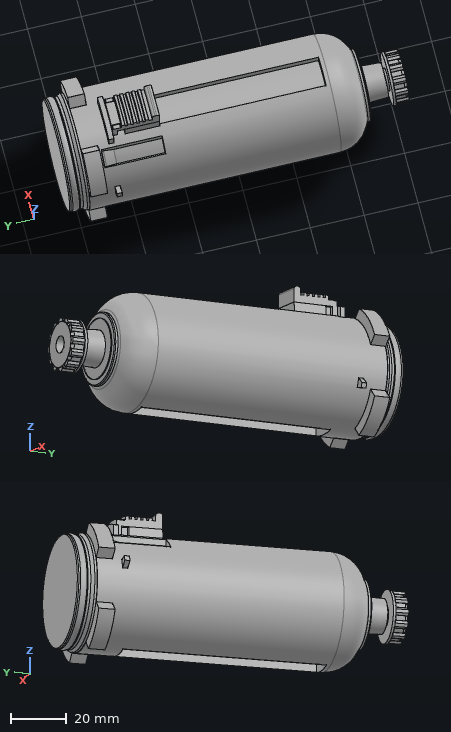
import cadquery as cq
import math

TOTAL_LENGTH = 129.0

GUARD_R = 43.9 / 2
BOWL_R = 37.9 / 2
GUARD_WALL = GUARD_R - BOWL_R
GUARD_TOP_Y = 121.8
DOME_Y = 28.5
DOME_ARC_R = 12.5
DOME_ARC_CENTRE_R = GUARD_R - DOME_ARC_R
DOME_INNER_ARC_R = DOME_ARC_R - GUARD_WALL
DOME_END_R = 14.5
END_RING_R = 27.0 / 2
END_RING_TOP_Y = 16.5
END_RING_Y = 15.2
END_RING_CHAMFER = 0.4
OUTLET_R = 22.3 / 2

LUG_R = 26.0
LUG_WIDTH = 17.2
LUG_LENGTH = 6.2
LUG_ANGLES = (45, 135, 225, 315)

TAB_OUTLINE = [(-20.0, 8.1), (-23.5, 8.9), (-24.0, 7.1), (-20.0, 3.6)]
TAB_Y = 110.2
TAB_LENGTH = 1.9

SIGHT_WIDTH = 11.4
SIGHT_BOTTOM_Y = 30.0
LOWER_SIGHT_TOP_Y = 107.0

RAIL_BOTTOM_Y = 92.0
RAIL_TOP_Y = 104.9
RAIL_TOP_Z = 24.4
RAIL_TOP_WIDTH = 12.1
RAIL_ROOT_WIDTH = 13.0
RAIL_ROOT_Z = 20.0

POCKET_INNER_X = -9.8
POCKET_OUTER_X = -15.4
POCKET_WALL_TILT = 35.5
POCKET_FLOOR_R = 19.9
POCKET_TOP_Y = 114.5
RAMP_START_Y = 109.9
RAMP_END_Y = 113.8
RAMP_TOP_R = 20.6

COLLAR_R = 43.3 / 2
COLLAR_CONE_Y = 122.7
COLLAR_STEP_Y = 124.0
RIM_R = 41.8 / 2
RIM_END_R = 41.3 / 2
RIM_CHAMFER = 0.5
COLLAR_TOP_Y = 125.0
SEAL_BOTTOM_Y = 125.4
SEAL_TOP_Y = 127.8
SEAL_R = 21.3
BOWL_END_Y = 14.8
STEM_TOP_R = 13.8 / 2
STEM_END_R = 13.0 / 2
STEM_END_Y = 7.1
STEM_NECK_TOP_R = 8.0 / 2
STEM_NECK_R = 8.5 / 2

KNOB_R = 20.0 / 2
KNOB_HEIGHT = 6.0
KNOB_FLANGE_Y = 5.0
KNOB_CORE_R = 9.2
KNOB_FACE_R = 8.4
KNOB_CONE_LENGTH = 1.2
TOOTH_COUNT = 12
TOOTH_ROOT_WIDTH = 3.0
TOOTH_TIP_WIDTH = 1.3
TOOTH_START_Y = 0.1
TOOTH_TIP_R = 9.9
HOLE_MOUTH_R = 6.2 / 2
HOLE_R = 4.0 / 2
HOLE_DEPTH = 2.6

LEG_Y = 107.6
NECK_Y = 109.5
PLATE_Y = 111.5
LEG_CORE_WIDTH = 9.0
PLATE_WIDTH = 17.0
PLATE_TOP_R = 25.5
NECK_TOP_R = 27.6
BUTTON_TOP_R = 28.0
NOTCH_BOTTOM_Y = 106.4
NOTCH_TOP_Y = 109.1
NOTCH_FLOOR_Z = 26.7
GRIP_TOP_R = 29.0
GRIP_COUNT = 5
GRIP_PITCH = 2.2
GRIP_FIRST_Y = 105.4
GRIP_TIP = 0.9
GRIP_ROOT = 1.4
LIP_Y = 94.7
LIP_TOP_Z = 30.5
LIP_FILLET = 1.0


def ring_y(outer_r, y_low, y_high):
    """Round disc about the Y axis."""
    return cq.Workplane("XZ", origin=(0, y_low, 0)).circle(outer_r).extrude(y_low - y_high)


def box_between(width, y_low, y_high, z_low, z_high):
    """Box centred on X = 0 and given by its Y and Z limits."""
    box = cq.Workplane("XY").box(width, y_high - y_low, z_high - z_low, centered=(True, False, False))
    return box.translate((0, y_low, z_low))


def turn_y(body, angle):
    """Body turned about the Y axis by an angle in degrees."""
    return body.rotate((0, 0, 0), (0, 1, 0), angle)


def dome_arc(radius, end_r):
    """Middle and end points of a dome arc that stops at distance end_r from the Y axis."""
    end_angle = math.acos((end_r - DOME_ARC_CENTRE_R) / radius)
    points = []
    for angle in (end_angle / 2, end_angle):
        points.append((DOME_ARC_CENTRE_R + radius * math.cos(angle), DOME_Y - radius * math.sin(angle)))
    return points


OUTER_ARC = dome_arc(DOME_ARC_R, DOME_END_R)
INNER_ARC = dome_arc(DOME_INNER_ARC_R, OUTLET_R)


def make_guard_shell():
    return (
        cq.Workplane("XY")
        .moveTo(BOWL_R, GUARD_TOP_Y)
        .lineTo(GUARD_R, GUARD_TOP_Y)
        .lineTo(GUARD_R, DOME_Y)
        .threePointArc(*OUTER_ARC)
        .lineTo(END_RING_R, END_RING_TOP_Y)
        .lineTo(END_RING_R, END_RING_Y + END_RING_CHAMFER)
        .lineTo(END_RING_R - END_RING_CHAMFER, END_RING_Y)
        .lineTo(OUTLET_R, END_RING_Y)
        .lineTo(*INNER_ARC[1])
        .threePointArc(INNER_ARC[0], (BOWL_R, DOME_Y))
        .close()
        .revolve(360, (0, 0, 0), (0, 1, 0))
    )


def make_lug(angle):
    lug_y = GUARD_TOP_Y - LUG_LENGTH
    mid_wall_r = (GUARD_R + BOWL_R) / 2
    bar = box_between(LUG_WIDTH, lug_y, GUARD_TOP_Y, 0, LUG_R)
    bar = bar.intersect(ring_y(LUG_R, lug_y, GUARD_TOP_Y))
    return turn_y(bar.cut(ring_y(mid_wall_r, lug_y, GUARD_TOP_Y)), angle)


def make_tab(angle):
    tab = cq.Workplane("XZ", origin=(0, TAB_Y, 0)).polyline(TAB_OUTLINE).close().extrude(-TAB_LENGTH)
    return turn_y(tab, angle)


def make_rail():
    outline = [
        (-RAIL_TOP_WIDTH / 2, RAIL_TOP_Z),
        (RAIL_TOP_WIDTH / 2, RAIL_TOP_Z),
        (RAIL_ROOT_WIDTH / 2, RAIL_ROOT_Z),
        (-RAIL_ROOT_WIDTH / 2, RAIL_ROOT_Z),
    ]
    plane = cq.Workplane("XZ", origin=(0, RAIL_BOTTOM_Y, 0))
    return plane.polyline(outline).close().extrude(RAIL_BOTTOM_Y - RAIL_TOP_Y)


def make_pocket():
    """Cutter with one upright wall, one leaning wall and a round floor that rises along a ramp."""
    tilt = math.radians(POCKET_WALL_TILT)
    outer_z = math.sqrt(GUARD_R**2 - POCKET_OUTER_X**2)
    corner_x = POCKET_OUTER_X + GUARD_WALL * math.sin(tilt)
    corner_z = outer_z - GUARD_WALL * math.cos(tilt)
    outline = [
        (POCKET_OUTER_X, outer_z),
        (corner_x, corner_z),
        (POCKET_INNER_X, corner_z),
        (POCKET_INNER_X, LUG_R),
        (POCKET_OUTER_X, LUG_R),
    ]
    plane = cq.Workplane("XZ", origin=(0, RAIL_BOTTOM_Y, 0))
    prism = plane.polyline(outline).close().extrude(RAIL_BOTTOM_Y - POCKET_TOP_Y)
    floor_profile = [
        (0, RAIL_BOTTOM_Y),
        (POCKET_FLOOR_R, RAIL_BOTTOM_Y),
        (POCKET_FLOOR_R, RAMP_START_Y),
        (RAMP_TOP_R, RAMP_END_Y),
        (RAMP_TOP_R, POCKET_TOP_Y),
        (0, POCKET_TOP_Y),
    ]
    floor = cq.Workplane("XY").polyline(floor_profile).close().revolve(360, (0, 0, 0), (0, 1, 0))
    return prism.cut(floor)


def make_guard():
    guard = make_guard_shell()
    for angle in LUG_ANGLES:
        guard = guard.union(make_lug(angle))
    for angle in (0, 180):
        guard = guard.union(make_tab(angle))
    guard = guard.union(make_rail())
    guard = guard.cut(box_between(SIGHT_WIDTH, SIGHT_BOTTOM_Y, RAIL_BOTTOM_Y, 0, GUARD_R))
    guard = guard.cut(box_between(SIGHT_WIDTH, SIGHT_BOTTOM_Y, LOWER_SIGHT_TOP_Y, -GUARD_R, 0))
    return guard.cut(make_pocket())


def make_bowl_body():
    seal_middle_y = (SEAL_BOTTOM_Y + SEAL_TOP_Y) / 2
    return (
        cq.Workplane("XY")
        .moveTo(0, TOTAL_LENGTH)
        .lineTo(RIM_END_R, TOTAL_LENGTH)
        .lineTo(RIM_R, TOTAL_LENGTH - RIM_CHAMFER)
        .lineTo(RIM_R, SEAL_TOP_Y)
        .threePointArc((SEAL_R, seal_middle_y), (RIM_R, SEAL_BOTTOM_Y))
        .lineTo(BOWL_R, SEAL_BOTTOM_Y)
        .lineTo(BOWL_R, COLLAR_TOP_Y)
        .lineTo(RIM_R, COLLAR_TOP_Y)
        .lineTo(RIM_R, COLLAR_STEP_Y)
        .lineTo(COLLAR_R, COLLAR_CONE_Y)
        .lineTo(COLLAR_R, GUARD_TOP_Y)
        .lineTo(BOWL_R, GUARD_TOP_Y)
        .lineTo(BOWL_R, DOME_Y)
        .threePointArc(*INNER_ARC)
        .lineTo(OUTLET_R, BOWL_END_Y)
        .lineTo(STEM_TOP_R, BOWL_END_Y)
        .lineTo(STEM_END_R, STEM_END_Y)
        .lineTo(STEM_NECK_TOP_R, STEM_END_Y)
        .lineTo(STEM_NECK_R, KNOB_HEIGHT)
        .lineTo(KNOB_R, KNOB_HEIGHT)
        .lineTo(KNOB_R, KNOB_FLANGE_Y)
        .lineTo(KNOB_CORE_R, KNOB_FLANGE_Y)
        .lineTo(KNOB_CORE_R, KNOB_CONE_LENGTH)
        .lineTo(KNOB_FACE_R, 0)
        .lineTo(HOLE_MOUTH_R, 0)
        .lineTo(HOLE_R, HOLE_DEPTH)
        .lineTo(0, HOLE_DEPTH)
        .close()
        .revolve(360, (0, 0, 0), (0, 1, 0))
    )


def make_tooth(angle):
    """Knob grip tooth, narrower at its tip; its root lies inside the knob core."""
    root_z = KNOB_FACE_R
    outline = [
        (-TOOTH_ROOT_WIDTH / 2, root_z),
        (-TOOTH_ROOT_WIDTH / 2, KNOB_CORE_R),
        (-TOOTH_TIP_WIDTH / 2, TOOTH_TIP_R),
        (TOOTH_TIP_WIDTH / 2, TOOTH_TIP_R),
        (TOOTH_ROOT_WIDTH / 2, KNOB_CORE_R),
        (TOOTH_ROOT_WIDTH / 2, root_z),
    ]
    plane = cq.Workplane("XZ", origin=(0, TOOTH_START_Y, 0))
    tooth = plane.polyline(outline).close().extrude(TOOTH_START_Y - KNOB_FLANGE_Y)
    return turn_y(tooth, angle)


def make_bowl():
    bowl = make_bowl_body()
    for index in range(TOOTH_COUNT):
        bowl = bowl.union(make_tooth(index * 360 / TOOTH_COUNT))
    return bowl


def make_grip(index):
    """Cross rib of the button, tapered toward its curved top."""
    centre_y = GRIP_FIRST_Y - index * GRIP_PITCH
    outline = [
        (centre_y - GRIP_ROOT / 2, RAIL_TOP_Z),
        (centre_y + GRIP_ROOT / 2, RAIL_TOP_Z),
        (centre_y + GRIP_ROOT / 2, NECK_TOP_R),
        (centre_y + GRIP_TIP / 2, GRIP_TOP_R),
        (centre_y - GRIP_TIP / 2, GRIP_TOP_R),
        (centre_y - GRIP_ROOT / 2, NECK_TOP_R),
    ]
    rib = cq.Workplane("YZ").polyline(outline).close().extrude(RAIL_TOP_WIDTH / 2, both=True)
    return rib.intersect(ring_y(GRIP_TOP_R, RAIL_BOTTOM_Y, NECK_Y))


def round_topped(width, y_low, y_high, z_low, top_r):
    """Box whose top follows a cylinder about the Y axis."""
    return box_between(width, y_low, y_high, z_low, top_r).intersect(ring_y(top_r, y_low, y_high))


def make_button():
    button = round_topped(RAIL_TOP_WIDTH, RAIL_BOTTOM_Y, GRIP_FIRST_Y, RAIL_TOP_Z, BUTTON_TOP_R)
    neck = round_topped(RAIL_TOP_WIDTH, GRIP_FIRST_Y, NECK_Y, RAIL_TOP_Z, NECK_TOP_R)
    notch_limits = (NOTCH_BOTTOM_Y, NOTCH_TOP_Y, NOTCH_FLOOR_Z, NECK_TOP_R)
    notches = box_between(RAIL_TOP_WIDTH, *notch_limits).cut(box_between(LEG_CORE_WIDTH, *notch_limits))
    button = button.union(neck.cut(notches))
    for index in range(GRIP_COUNT):
        button = button.union(make_grip(index))
    lip = box_between(RAIL_TOP_WIDTH, RAIL_BOTTOM_Y, LIP_Y, RAIL_TOP_Z, LIP_TOP_Z)
    return button.union(lip.edges("|X and >Z").fillet(LIP_FILLET))


def make_latch():
    """Button with its stop plate and leg, whose undersides rest on the round guard."""
    plate = round_topped(PLATE_WIDTH, NECK_Y, PLATE_Y, BOWL_R, PLATE_TOP_R)
    leg = box_between(RAIL_TOP_WIDTH, LEG_Y, NECK_Y, BOWL_R, RAIL_TOP_Z)
    leg_core = box_between(LEG_CORE_WIDTH, RAIL_TOP_Y, LEG_Y, BOWL_R, RAIL_TOP_Z)
    supports = plate.union(leg).union(leg_core)
    supports = supports.cut(ring_y(GUARD_R, RAIL_BOTTOM_Y, PLATE_Y))
    return make_button().union(supports)


guard = make_guard()
bowl = make_bowl()
latch = make_latch()

result = cq.Compound.makeCompound([guard.solids().val(), bowl.solids().val(), latch.solids().val()])